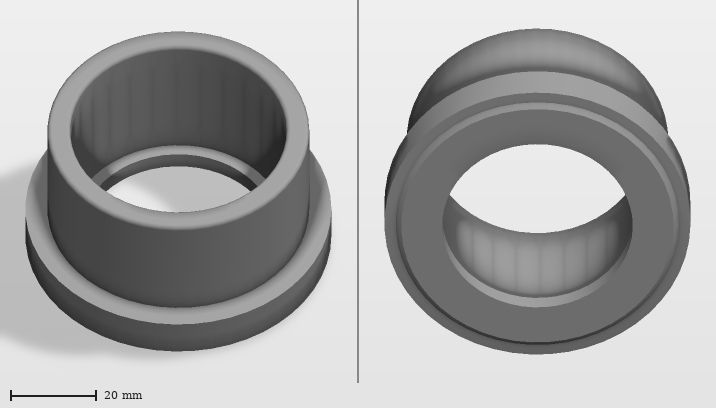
import cadquery as cq

flange_diameter = 71.3
total_height = 39.1

flange_top = 10.6
seal_height = 1.0
seal_inset = 2.65
seal_side_run = 1.3

collar_diameter = 61.0
edge_radius = 1.0
socket_mouth_diameter = 50.35
socket_floor_diameter = 50.05
socket_depth = 34.8
through_diameter = 44.4

flange_radius = flange_diameter / 2
seal_top_radius = flange_radius - seal_inset
seal_bottom_radius = seal_top_radius - seal_side_run
socket_floor = total_height - socket_depth


def cone_frustum(bottom_radius, top_radius, bottom, top):
    """Solid of revolution about Z with a straight side."""
    return (
        cq.Workplane("XZ")
        .moveTo(0, bottom)
        .lineTo(bottom_radius, bottom)
        .lineTo(top_radius, top)
        .lineTo(0, top)
        .close()
        .revolve(360, (0, 0), (0, 1))
    )


def make_body():
    """Flange with its sealing face below and its collar above."""
    sealing_face = cone_frustum(seal_bottom_radius, seal_top_radius, 0, seal_height)
    flange = cone_frustum(flange_radius, flange_radius, seal_height, flange_top)
    collar_radius = collar_diameter / 2
    collar = cone_frustum(collar_radius, collar_radius, flange_top, total_height)
    return sealing_face.union(flange).union(collar)


def make_bore():
    """Slightly tapered pipe socket ending on a shoulder, then a narrower through hole."""
    mouth_radius = socket_mouth_diameter / 2
    floor_radius = socket_floor_diameter / 2
    socket = cone_frustum(floor_radius, mouth_radius, socket_floor, total_height)
    through_radius = through_diameter / 2
    through_hole = cone_frustum(through_radius, through_radius, 0, socket_floor)
    return socket.union(through_hole)


result = make_body().cut(make_bore())
result = result.faces(">Z").edges().fillet(edge_radius)